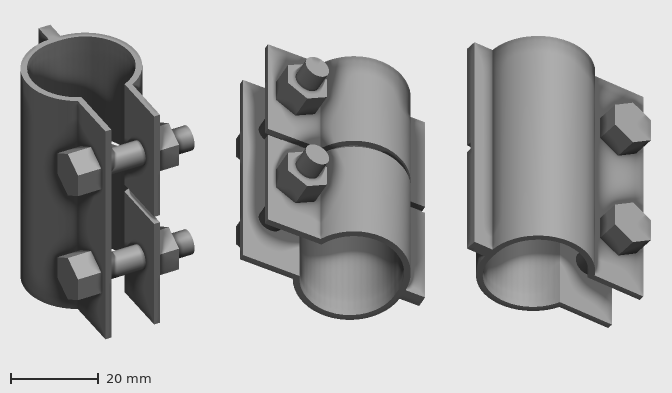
import cadquery as cq
import math

height = 58.0
wall = 1.5

shell_radius = 13.0
shell_offset = 1.0

flange_end_x = 25.0
flange_inner_y = 5.5
rib_end_x = -18.0
rib_thickness = 3.0

slot_width = 2.0

bolt_diameter = 6.0
bolt_x = 18.0
bolt_spacing = height / 2
bolt_end_y = 18.05
hex_across_flats = 10.0
hex_height = 6.0

flange_outer_y = flange_inner_y + wall


def half_section(radius, flange_y):
    """Solid +Y half bounded by the shell arc and a flange face."""
    junction_x = math.sqrt(radius**2 - (flange_y - shell_offset) ** 2)
    return (
        cq.Workplane("XY", origin=(0, 0, -height / 2))
        .moveTo(-radius, 0)
        .lineTo(-radius, shell_offset)
        .threePointArc((0, shell_offset + radius), (junction_x, flange_y))
        .lineTo(flange_end_x, flange_y)
        .lineTo(flange_end_x, 0)
        .close()
        .extrude(height)
    )


def half_clamp():
    """Bent strip: half shell with its flange, on the +Y side."""
    outer = half_section(shell_radius, flange_outer_y)
    inner = half_section(shell_radius - wall, flange_inner_y)
    return outer.cut(inner)


def rib():
    """Flat rib reaching from the middle of the shell wall to -X."""
    length = -rib_end_x - shell_radius + wall / 2
    return cq.Workplane("XY").box(length, rib_thickness, height, centered=(False, True, True)).translate(
        (rib_end_x, 0, 0)
    )


def slot():
    """Cutter through everything on the +Y side at mid height."""
    length = flange_end_x - rib_end_x
    depth = shell_offset + shell_radius
    return cq.Workplane("XY").box(length, depth, slot_width, centered=(False, False, True)).translate(
        (rib_end_x, 0, 0)
    )


def hexagon(start_y, z):
    """Hexagonal prism along +Y with corners pointing up and down."""
    across_corners = hex_across_flats / math.cos(math.pi / 6)
    return (
        cq.Workplane("XZ", origin=(bolt_x, start_y, z))
        .transformed(rotate=(0, 0, 90))
        .polygon(6, across_corners)
        .extrude(-hex_height)
    )


def bolt(z):
    """Bolt with its head on the -Y flange and its nut on the +Y flange."""
    shank = (
        cq.Workplane("XZ", origin=(bolt_x, -flange_outer_y, z))
        .circle(bolt_diameter / 2)
        .extrude(-(bolt_end_y + flange_outer_y))
    )
    head = hexagon(-flange_outer_y - hex_height, z)
    nut = hexagon(flange_outer_y, z)
    return shank.union(head).union(nut)


back_half = half_clamp()
result = back_half.union(back_half.mirror("XZ")).union(rib()).cut(slot())
for bolt_z in (-bolt_spacing / 2, bolt_spacing / 2):
    result = result.union(bolt(bolt_z))